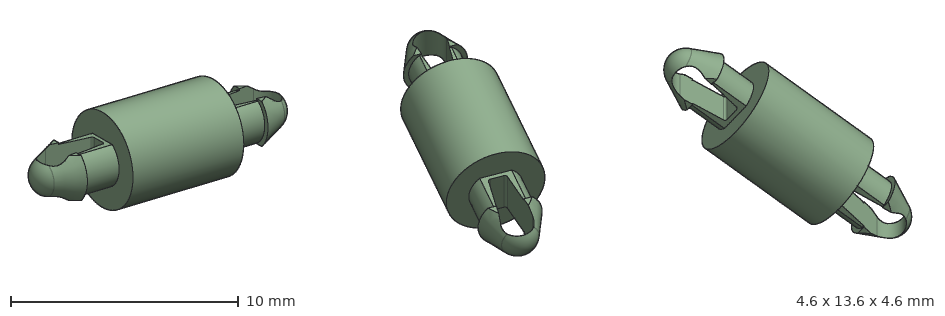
import cadquery as cq
import math

total_length = 13.6
body_diameter = 4.6
body_length = 6.0
pin_length = (total_length - body_length) / 2

stem_radius = 1.25
stem_length = 1.89
stem_thickness = 2.01
head_radius = 1.5
head_length = pin_length - stem_length
head_thickness = 2.18
tip_radius = 0.97

slot_base_gap = 0.2
slot_base_half_width = 0.42
slot_base_fillet = 0.12
slot_round_radius = 0.75
front_tip_wall = 0.41
rear_tip_wall = 0.25


def tangent_point(start_x, center_y, radius):
    """Touch point of a line from (start_x, 0) to the right side of a circle at (0, center_y)."""
    distance = math.hypot(start_x, center_y)
    angle = math.atan2(center_y, start_x) - math.acos(radius / distance)
    return radius * math.cos(angle), center_y - radius * math.sin(angle)


def flattened(solid, thickness):
    """Trim a solid to a thickness along Z, centered on the axis."""
    slab = cq.Workplane("XY").box(body_diameter, 2 * total_length, thickness)
    return solid.intersect(slab)


def make_stem():
    stem = cq.Workplane("XZ").circle(stem_radius).extrude(-stem_length)
    return flattened(stem, stem_thickness)


def make_head():
    """Cone that runs smoothly into a round tip."""
    tip_center = head_length - tip_radius
    joint_x, joint_y = tangent_point(head_radius, tip_center, tip_radius)
    arc_middle = (
        tip_radius * math.cos(math.pi / 4),
        tip_center + tip_radius * math.sin(math.pi / 4),
    )
    head = (
        cq.Workplane("XY")
        .lineTo(head_radius, 0)
        .lineTo(joint_x, joint_y)
        .threePointArc(arc_middle, (0, head_length))
        .close()
        .revolve(360, (0, 0), (0, 1))
    )
    return flattened(head, head_thickness).translate((0, stem_length, 0))


def make_slot(tip_wall):
    """Slot that widens from a flat base to a round end near the tip."""
    slot_length = pin_length - slot_base_gap - tip_wall
    round_center = slot_length - slot_round_radius
    joint_x, joint_y = tangent_point(slot_base_half_width, round_center, slot_round_radius)
    return (
        cq.Workplane("XY")
        .moveTo(-slot_base_half_width, 0)
        .lineTo(slot_base_half_width, 0)
        .lineTo(joint_x, joint_y)
        .threePointArc((0, slot_length), (-joint_x, joint_y))
        .close()
        .extrude(head_thickness, both=True)
        .edges("|Z and <Y")
        .fillet(slot_base_fillet)
        .translate((0, slot_base_gap, 0))
    )


def make_pin(tip_wall):
    """Pin that points along +Y from the end face of the body."""
    pin = make_stem().union(make_head()).cut(make_slot(tip_wall))
    return pin.translate((0, body_length / 2, 0))


body = (
    cq.Workplane("XZ", origin=(0, body_length / 2, 0))
    .circle(body_diameter / 2)
    .extrude(body_length)
)
rear_pin = make_pin(rear_tip_wall)
front_pin = make_pin(front_tip_wall).rotate((0, 0, 0), (0, 0, 1), 180)
result = body.union(rear_pin).union(front_pin)